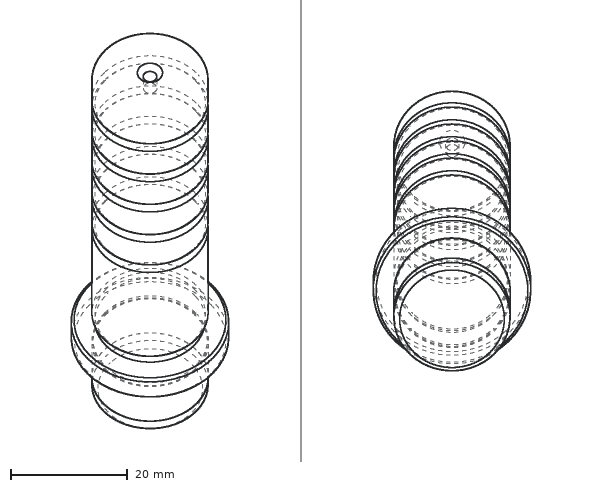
import cadquery as cq
import math

length = 83.0
shaft_radius = 10.0
tip_round = 2.0

spigot_oversize = 0.04
spigot_radius = shaft_radius + spigot_oversize
spigot_chamfer = 1.0
pilot_height = 3.0
spigot_neck_radius = 9.8
spigot_neck_height = 0.75

flange_diameter = 27.0
flange_radius = flange_diameter / 2
flange_bottom = 12.95
flange_top = 17.9
flange_chamfer = 0.5

relief_depth = 0.5
relief_top = 20.0

groove_count = 5
groove_pitch = 8.0
groove_width = 2.0
groove_depth = 0.5
first_groove_center = length - 8.05

center_hole_radius = 1.2
countersink_radius = 2.15
countersink_angle = 90.0
center_hole_depth = 4.0
drill_point_angle = 120.0


def cone_height(radius, included_angle):
    return radius / math.tan(math.radians(included_angle / 2))


def make_body():
    """Revolve the stepped pin outline, working upward from the bottom face."""
    relief_radius = shaft_radius - relief_depth
    spigot_top = flange_bottom - spigot_neck_height
    outline = (
        cq.Workplane("XZ")
        .lineTo(shaft_radius - spigot_chamfer, 0)
        .lineTo(shaft_radius, spigot_chamfer)
        .lineTo(shaft_radius, pilot_height)
        .lineTo(spigot_radius, pilot_height)
        .lineTo(spigot_radius, spigot_top)
        .lineTo(spigot_neck_radius, spigot_top)
        .lineTo(spigot_neck_radius, flange_bottom)
        .lineTo(flange_radius - flange_chamfer, flange_bottom)
        .lineTo(flange_radius, flange_bottom + flange_chamfer)
        .lineTo(flange_radius, flange_top - flange_chamfer)
        .lineTo(flange_radius - flange_chamfer, flange_top)
        .lineTo(relief_radius, flange_top)
        .lineTo(relief_radius, relief_top - relief_depth)
        .lineTo(shaft_radius, relief_top)
        .lineTo(shaft_radius, length - tip_round)
        .radiusArc((shaft_radius - tip_round, length), -tip_round)
        .lineTo(0, length)
        .close()
    )
    return outline.revolve(360, (0, 0), (0, 1))


def make_groove(center_height):
    """Ring whose inner side is an arc bulging toward the pin axis."""
    half_width = groove_width / 2
    outer_radius = shaft_radius + groove_depth
    lower_edge = center_height - half_width
    upper_edge = center_height + half_width
    section = (
        cq.Workplane("XZ")
        .moveTo(outer_radius, lower_edge)
        .lineTo(shaft_radius, lower_edge)
        .threePointArc((shaft_radius - groove_depth, center_height), (shaft_radius, upper_edge))
        .lineTo(outer_radius, upper_edge)
        .close()
    )
    return section.revolve(360, (0, 0), (0, 1))


def make_center_hole():
    """Countersink, pilot bore and conical drill point as one revolved cutter."""
    countersink_depth = cone_height(countersink_radius - center_hole_radius, countersink_angle)
    point_height = cone_height(center_hole_radius, drill_point_angle)
    bore_bottom = length - center_hole_depth
    section = (
        cq.Workplane("XZ")
        .moveTo(0, length)
        .lineTo(countersink_radius, length)
        .lineTo(center_hole_radius, length - countersink_depth)
        .lineTo(center_hole_radius, bore_bottom)
        .lineTo(0, bore_bottom - point_height)
        .close()
    )
    return section.revolve(360, (0, 0), (0, 1))


result = make_body().cut(make_center_hole())
for index in range(groove_count):
    result = result.cut(make_groove(first_groove_center - index * groove_pitch))